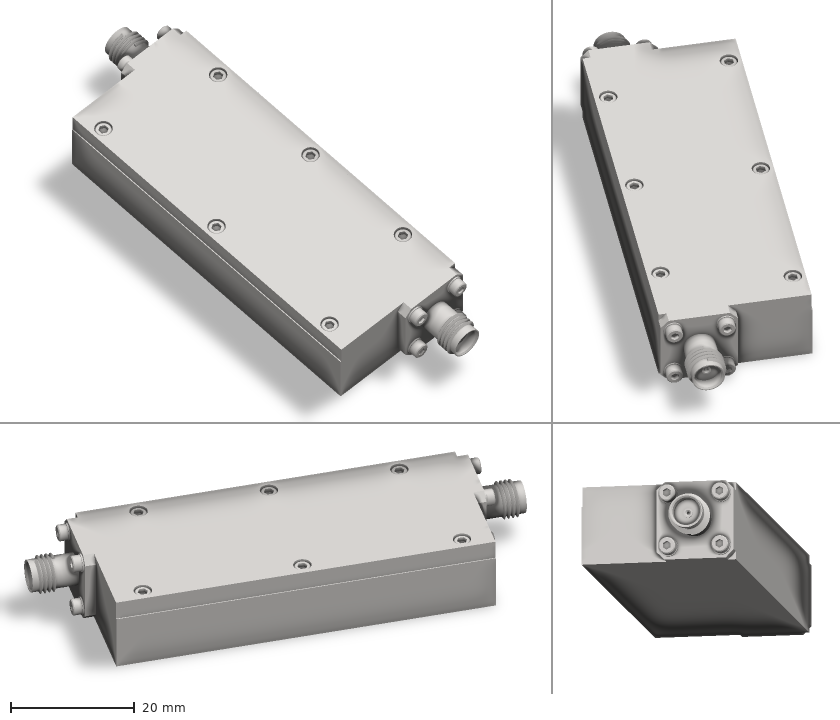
import cadquery as cq
import math

total_length = 82.65
body_length = 63.5
body_width = 25.4
body_height = 12.7

lid_thickness = 3.2
lid_inset = 0.2

flange_size = body_height
flange_thickness = 1.8
flange_corner_cut = 1.3
flange_center_y = (body_width - flange_size) / 2
flange_face_x = body_length / 2 + flange_thickness

barrel_length = total_length / 2 - flange_face_x
barrel_diameter = 5.4
bore_diameter = 4.55
bore_mouth_diameter = 5.05
bore_depth = 2.0
contact_diameter = 1.5
contact_hole_diameter = 0.52
contact_mouth_diameter = 1.0
contact_length = 0.25
contact_hole_depth = 1.0

thread_diameter = 6.4
thread_pitch = 0.75
thread_turns = 4
thread_ridge_width = 0.7
thread_foot_sink = 0.1
thread_length = thread_pitch * thread_turns
thread_tip_gap = 1.2
thread_start = barrel_length - thread_tip_gap - thread_length

head_diameter = 2.7
head_top_diameter = 2.4
head_height = 1.5
flange_socket_width = 1.2
lid_socket_width = 1.5
socket_depth = 0.75
washer_diameter = 3.05
washer_thickness = 0.25
flange_screw_spacing = 8.7

lid_screw_y = 10.4
lid_screw_places = [(x, lid_screw_y) for x in (-21.8, 0, 21.8)]
lid_screw_places += [(x, -lid_screw_y) for x in (-26.7, 0, 26.7)]
lid_hole_diameter = 3.0
lid_head_recess = 0.25

hexagon_corner_ratio = 2 / math.sqrt(3)


def cylinder(diameter, length, start=0.0):
    """Cylinder along +Z that begins at the given height."""
    return cq.Workplane("XY").workplane(offset=start).circle(diameter / 2).extrude(length)


def cone(bottom_diameter, top_diameter, length, end):
    """Truncated cone along +Z that ends at the given height."""
    return (
        cq.Workplane("XY").workplane(offset=end - length).circle(bottom_diameter / 2)
        .workplane(offset=length).circle(top_diameter / 2).loft()
    )


def hexagon(width, length, start):
    """Hexagonal prism along +Z, sized across its flats."""
    return (
        cq.Workplane("XY").workplane(offset=start)
        .polygon(6, width * hexagon_corner_ratio).extrude(length)
    )


def make_housing():
    lid_bottom = body_height / 2 - lid_thickness
    base = (
        cq.Workplane("XY").workplane(offset=-body_height / 2)
        .rect(body_length, body_width).extrude(body_height - lid_thickness)
    )
    lid = (
        cq.Workplane("XY").workplane(offset=lid_bottom).center(0, lid_inset / 2)
        .rect(body_length, body_width - lid_inset).extrude(lid_thickness)
    )
    return base.union(lid)


def make_screw_head(socket_width):
    """Socket head with a chamfered top, standing on height zero."""
    head = cylinder(head_diameter, head_height)
    head = head.faces(">Z").chamfer((head_diameter - head_top_diameter) / 2)
    return head.cut(hexagon(socket_width, socket_depth, head_height - socket_depth))


def make_lid_screw_recess():
    """Space left open in the lid by a screw head sunk below its top face."""
    depth = head_height + lid_head_recess
    hole = cylinder(lid_hole_diameter, depth, -depth)
    return hole.cut(make_screw_head(lid_socket_width).translate((0, 0, -depth)))


def make_thread():
    """Helical V-shaped ridge whose foot is sunk slightly into the barrel."""
    foot = barrel_diameter / 2 - thread_foot_sink
    crest = thread_diameter / 2
    half_ridge = thread_ridge_width / 2
    helix = cq.Wire.makeHelix(thread_pitch, thread_length, foot)
    ridge = (
        cq.Workplane("XZ")
        .moveTo(foot, -half_ridge).lineTo(crest, 0).lineTo(foot, half_ridge).close()
        .sweep(cq.Workplane(helix), isFrenet=True)
    )
    return ridge.translate((0, 0, thread_start))


def make_barrel():
    bore_floor = barrel_length - bore_depth
    mouth_chamfer = (bore_mouth_diameter - bore_diameter) / 2
    barrel = cylinder(barrel_diameter, barrel_length).union(make_thread())
    bore = cylinder(bore_diameter, bore_depth, bore_floor)
    mouth = cone(bore_diameter, bore_mouth_diameter, mouth_chamfer, barrel_length)
    contact_tip = bore_floor + contact_length
    contact_chamfer = (contact_mouth_diameter - contact_hole_diameter) / 2
    contact = cylinder(contact_diameter, contact_length, bore_floor)
    contact_hole = cylinder(contact_hole_diameter, contact_hole_depth, contact_tip - contact_hole_depth)
    contact_mouth = cone(contact_hole_diameter, contact_mouth_diameter, contact_chamfer, contact_tip)
    return barrel.cut(bore).cut(mouth).union(contact).cut(contact_hole).cut(contact_mouth)


def make_flange_screw():
    washer = cylinder(washer_diameter, washer_thickness)
    head = make_screw_head(flange_socket_width)
    return washer.union(head.translate((0, 0, washer_thickness)))


def make_connector():
    """Flange, screws and barrel along +Z, standing on the flange face at height zero."""
    flange = (
        cq.Workplane("XY").workplane(offset=-flange_thickness)
        .rect(flange_size, flange_size).extrude(flange_thickness)
        .edges("|Z").chamfer(flange_corner_cut)
    )
    connector = flange.union(make_barrel())
    half = flange_screw_spacing / 2
    for x in (-half, half):
        for y in (-half, half):
            connector = connector.union(make_flange_screw().translate((x, y, 0)))
    return connector


result = make_housing()
lid_screw_recess = make_lid_screw_recess()
for x, y in lid_screw_places:
    result = result.cut(lid_screw_recess.translate((x, y, body_height / 2)))

for side in (-1, 1):
    connector = make_connector().rotate((0, 0, 0), (0, 1, 0), side * 90)
    result = result.union(connector.translate((side * flange_face_x, flange_center_y, 0)))